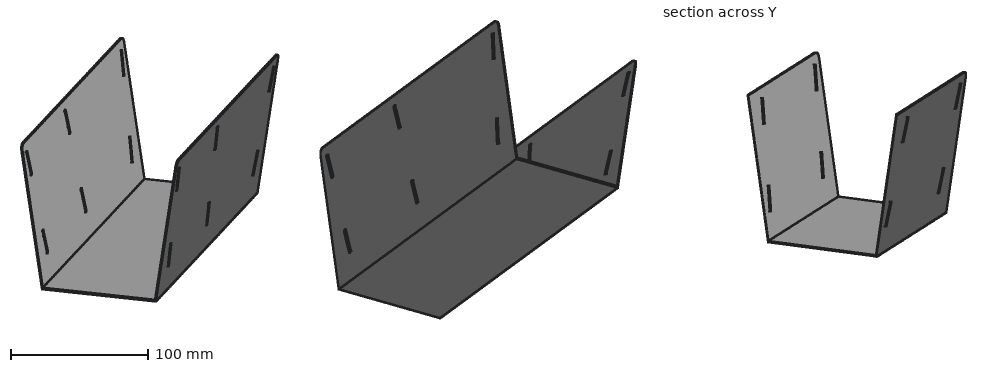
import cadquery as cq
import math

length = 245.0
top_width = 120.0
height = 110.2
base_width = 87.2
wall_thickness = 1.0
floor_thickness = 1.5
corner_radius = 5.0

slot_length = 18.5
slot_width = 2.5
slot_tilt = 9.0
end_slot_y = 112.7
middle_slot_y = -20.0
row_shift = 9.3
upper_row_z = 93.0
lower_row_z = 30.1

outer_top_x = top_width / 2
wall_angle = math.atan2(outer_top_x - base_width / 2, height)
outer_top_z = height - wall_thickness * math.sin(wall_angle)
inner_top_x = outer_top_x - wall_thickness * math.cos(wall_angle)
inner_floor_x = inner_top_x - (height - floor_thickness) * math.tan(wall_angle)


def make_trough():
    """Flat floor with two thin walls leaning outward, run along Y."""
    right_side = [
        (base_width / 2, 0),
        (outer_top_x, outer_top_z),
        (inner_top_x, height),
        (inner_floor_x, floor_thickness),
    ]
    left_side = [(-x, z) for x, z in reversed(right_side)]
    profile = cq.Workplane("XZ").polyline(right_side + left_side).close()
    return profile.extrude(length / 2, both=True)


def make_side_outline():
    """Block with the side outline of the walls: upper corners rounded."""
    block = cq.Workplane("XY").box(top_width, length, height, centered=(True, True, False))
    return block.edges("|X and >Z").fillet(corner_radius)


def make_slot(y, z, tilt):
    """Square-ended slot cutter reaching through both walls."""
    cutter = cq.Workplane("XY").box(top_width, slot_width, slot_length)
    return cutter.rotate((0, 0, 0), (1, 0, 0), tilt).translate((0, y, z))


result = make_trough().intersect(make_side_outline())

for upper_y, lean in [(end_slot_y, 1), (middle_slot_y, -1), (-end_slot_y, -1)]:
    lower_y = upper_y - lean * row_shift
    for y, z in [(upper_y, upper_row_z), (lower_y, lower_row_z)]:
        result = result.cut(make_slot(y, z, -lean * slot_tilt))